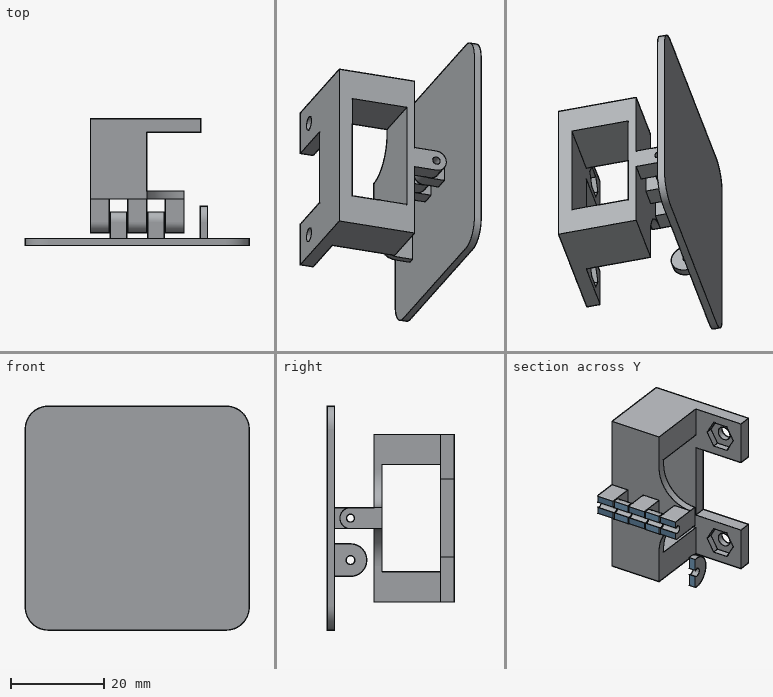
import cadquery as cq
import math

plate_size = 48.0
plate_thickness = 1.6
plate_corner_radius = 5.0

hinge_axis_y = 5.0
knuckle_radius = 2.25
knuckle_pitch = 8.0
housing_knuckle_width = 4.1
housing_knuckle_hole = 1.7
plate_knuckle_width = 3.6
plate_knuckle_hole = 1.65

lug_x = 14.25
lug_z = -9.0
lug_thickness = 1.6
lug_radius = 3.5
lug_hole = 1.8

housing_front_y = 10.0
housing_back_y = 27.2
housing_height = 35.9
window_height = 22.95
front_wall = 1.8
back_wall = 3.0
housing_left_x = -(knuckle_pitch + housing_knuckle_width / 2)
housing_right_x = housing_knuckle_width / 2
housing_center_x = (housing_left_x + housing_right_x) / 2
housing_width = housing_right_x - housing_left_x

arm_end_x = 13.65
arm_height = 9.6
screw_x = 8.3
screw_hole = 3.0
nut_across_corners = 6.7
nut_pocket_depth = 1.5
arm_center_z = (housing_height - arm_height) / 2
arm_front_y = housing_back_y - back_wall


def block(x_min, x_max, y_min, y_max, z_center, height):
    """Box given by its X and Y limits and its height about z_center."""
    center = ((x_min + x_max) / 2, (y_min + y_max) / 2, z_center)
    return cq.Workplane("XY").box(x_max - x_min, y_max - y_min, height).translate(center)


def x_cylinder(x_center, length, radius, z_center):
    """Cylinder lying along X at the depth of the hinge axis."""
    plane = cq.Workplane("YZ", origin=(x_center - length / 2, 0, 0))
    return plane.center(hinge_axis_y, z_center).circle(radius).extrude(length)


def rounded_lug(x_center, width, radius, root_y, z_center):
    """Lug reaching from root_y to the hinge depth, with a full round end."""
    y_min = min(root_y, hinge_axis_y)
    y_max = max(root_y, hinge_axis_y)
    shank = block(x_center - width / 2, x_center + width / 2, y_min, y_max, z_center, 2 * radius)
    return shank.union(x_cylinder(x_center, width, radius, z_center))


def y_prism_plane(y):
    """Sketch plane with local X = X and local Y = Z, extruding toward -Y."""
    return cq.Workplane("XZ", origin=(0, y, 0))


def make_plate():
    plate = block(-plate_size / 2, plate_size / 2, 0, plate_thickness, 0, plate_size)
    plate = plate.edges("|Y").fillet(plate_corner_radius)
    for x in (-knuckle_pitch / 2, knuckle_pitch / 2):
        plate = plate.union(rounded_lug(x, plate_knuckle_width, knuckle_radius, plate_thickness, 0))
        plate = plate.cut(x_cylinder(x, plate_knuckle_width, plate_knuckle_hole / 2, 0))
    plate = plate.union(rounded_lug(lug_x, lug_thickness, lug_radius, plate_thickness, lug_z))
    return plate.cut(x_cylinder(lug_x, lug_thickness, lug_hole / 2, lug_z))


def make_frame():
    frame = block(housing_left_x, housing_right_x, housing_front_y, housing_back_y, 0, housing_height)
    window = block(housing_left_x, housing_right_x, housing_front_y + front_wall, arm_front_y, 0, window_height)
    return frame.cut(window)


def make_knuckle_web():
    """Web of the front wall that flares from the outer knuckle into the frame with concave arcs."""
    flare = knuckle_pitch
    end_x = housing_right_x + flare
    root_z = knuckle_radius + flare
    arc_x = end_x - flare * math.sqrt(0.5)
    arc_z = root_z - flare * math.sqrt(0.5)
    outline = (
        y_prism_plane(housing_front_y + front_wall)
        .moveTo(housing_right_x, -root_z)
        .threePointArc((arc_x, -arc_z), (end_x, -knuckle_radius))
        .lineTo(end_x, knuckle_radius)
        .threePointArc((arc_x, arc_z), (housing_right_x, root_z))
        .close()
    )
    return outline.extrude(front_wall)


def make_arm(z_center):
    """Arm with a screw hole through it and a hexagonal nut pocket in its front face."""
    arm = block(housing_center_x, arm_end_x, arm_front_y, housing_back_y, z_center, arm_height)
    hole = y_prism_plane(housing_back_y).center(screw_x, z_center).circle(screw_hole / 2).extrude(back_wall)
    pocket_plane = y_prism_plane(arm_front_y + nut_pocket_depth).center(screw_x, z_center)
    pocket = pocket_plane.polygon(6, nut_across_corners).extrude(nut_pocket_depth)
    return arm.cut(hole).cut(pocket)


def make_housing():
    housing = make_frame().union(make_knuckle_web())
    for z in (-arm_center_z, arm_center_z):
        housing = housing.union(make_arm(z))
    for x in (-knuckle_pitch, 0, knuckle_pitch):
        housing = housing.union(rounded_lug(x, housing_knuckle_width, knuckle_radius, housing_front_y, 0))
        housing = housing.cut(x_cylinder(x, housing_knuckle_width, housing_knuckle_hole / 2, 0))
    return housing


plate = make_plate()
housing = make_housing()
result = cq.Compound.makeCompound([plate.val(), housing.val()])